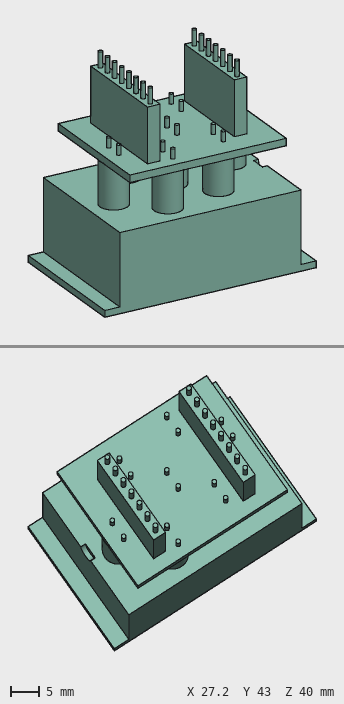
import cadquery as cq

BASE_WIDTH = 27.2
FLANGE_LENGTH = 42.95
FLANGE_THICKNESS = 1.35
BLOCK_LENGTH = 36.8
BLOCK_TOP = 15.7

NOTCH_DIAMETER = 3.1
NOTCH_DEPTH = 1.0

BOARD_WIDTH = 25.45
BOARD_LENGTH = 31.75
BOARD_BOTTOM = 24.45
BOARD_TOP = 25.95

CAN_DIAMETER = 5.6
LEAD_DIAMETER = 0.8
LEAD_SPACING = 3.55
LEAD_TOP = 27.85

PATTERN_CENTER_X = -0.1
HALF_PATTERN = [(-2.35, 13.2), (-8.5, 5.7), (6.5, 5.7)]
PATTERN = HALF_PATTERN + [(0, 0)] + [(-x, -y) for x, y in HALF_PATTERN]
CAN_CENTERS = [(PATTERN_CENTER_X + x, y) for x, y in PATTERN]

PIN_PITCH = 2.55
PIN_DIAMETER = 0.85
FRONT_PIN_COUNT = 8
BACK_PIN_COUNT = 7
HEADER_LEFT = -FRONT_PIN_COUNT * PIN_PITCH / 2
HEADER_OFFSET_Y = 9.55
HEADER_TOP = 36.9
PIN_TOP = 40.0


def box_between(width, length, bottom, top, center=(0, 0)):
    """Upright box about a centre point, between two heights."""
    return (
        cq.Workplane("XY", origin=(0, 0, bottom))
        .center(*center)
        .rect(width, length)
        .extrude(top - bottom)
    )


def cylinders_between(diameter, centers, bottom, top):
    """Upright cylinders at the given points, between two heights."""
    return (
        cq.Workplane("XY", origin=(0, 0, bottom))
        .pushPoints(centers)
        .circle(diameter / 2)
        .extrude(top - bottom)
    )


def make_base():
    flange = box_between(BASE_WIDTH, FLANGE_LENGTH, 0, FLANGE_THICKNESS)
    block = box_between(BASE_WIDTH, BLOCK_LENGTH, 0, BLOCK_TOP)
    notch = (
        cq.Workplane("XZ", origin=(0, BLOCK_LENGTH / 2, BLOCK_TOP))
        .circle(NOTCH_DIAMETER / 2)
        .extrude(NOTCH_DEPTH)
    )
    return flange.union(block).cut(notch)


def make_header(pin_count, center_y):
    length = pin_count * PIN_PITCH
    center = (HEADER_LEFT + length / 2, center_y)
    housing = box_between(length, PIN_PITCH, BOARD_TOP, HEADER_TOP, center)
    pin_centers = [(HEADER_LEFT + (i + 0.5) * PIN_PITCH, center_y) for i in range(pin_count)]
    return housing.union(cylinders_between(PIN_DIAMETER, pin_centers, HEADER_TOP, PIN_TOP))


def make_board_assembly():
    board = box_between(BOARD_WIDTH, BOARD_LENGTH, BOARD_BOTTOM, BOARD_TOP)
    cans = cylinders_between(CAN_DIAMETER, CAN_CENTERS, BLOCK_TOP, BOARD_BOTTOM)
    lead_centers = [
        (x + side * LEAD_SPACING / 2, y) for x, y in CAN_CENTERS for side in (-1, 1)
    ]
    leads = cylinders_between(LEAD_DIAMETER, lead_centers, BOARD_TOP, LEAD_TOP)
    front_header = make_header(FRONT_PIN_COUNT, -HEADER_OFFSET_Y)
    back_header = make_header(BACK_PIN_COUNT, HEADER_OFFSET_Y)
    return board.union(cans).union(leads).union(front_header).union(back_header)


base = make_base()
board_assembly = make_board_assembly()

result = cq.Compound.makeCompound([base.val(), board_assembly.val()])